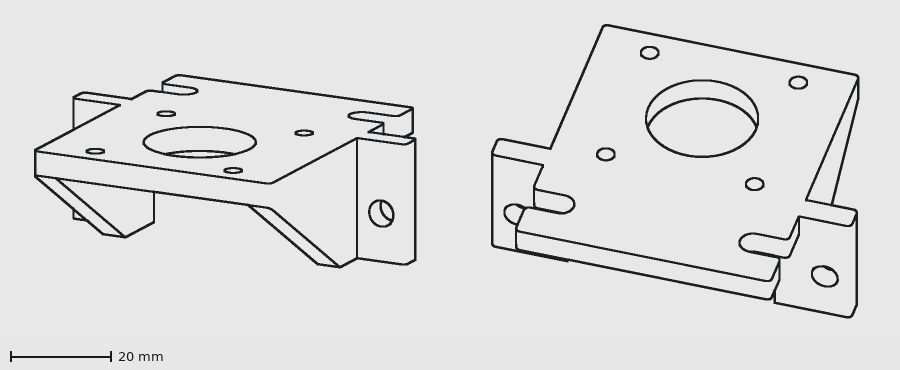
import cadquery as cq

total_width = 75.0
depth = 63.0
height = 25.0
plate_width = 53.25
thickness = 5.0
corner_radius = 1.0

ear_front = 37.95
ear_back = ear_front + thickness
wall_foot_front = 30.45
ear_hole_diameter = 5.4
ear_hole_x = 32.0
ear_hole_drop = 15.0

motor_y = 20.9
motor_bore_diameter = 22.4
screw_diameter = 3.5
screw_pitch = 31.0

notch_width = 5.4
notch_y = 52.95
notch_inner_x = 17.3


def box(x_size, y_start, y_end, z_size):
    """Box centred on X, hanging down from the top face."""
    y_size = y_end - y_start
    return (
        cq.Workplane("XY")
        .box(x_size, y_size, z_size, centered=(True, False, False))
        .translate((0, y_start, -z_size))
    )


def notched_plate():
    """Top plate with rounded back corners and rounded notch mouths."""
    plate = box(plate_width, 0, depth, thickness)
    notch_length = plate_width - 2 * notch_inner_x
    for side in (-1, 1):
        notch = (
            cq.Workplane("XY")
            .center(side * plate_width / 2, notch_y)
            .slot2D(notch_length, notch_width)
            .extrude(-thickness)
        )
        plate = plate.cut(notch)
    behind_ears = cq.selectors.BoxSelector(
        (-total_width, ear_back, -height), (total_width, depth + thickness, height)
    )
    side_edges = plate.faces("<X or >X").edges("|Z")
    return side_edges.edges(behind_ears).fillet(corner_radius)


def ears():
    """Full-height cross bar whose ends form the mounting ears."""
    bar = box(total_width, ear_front, ear_back, height)
    bar = bar.faces("<X or >X").edges("|Z").fillet(corner_radius)
    holes = (
        cq.Workplane("XZ", origin=(0, ear_back, 0))
        .pushPoints([(side * ear_hole_x, -ear_hole_drop) for side in (-1, 1)])
        .circle(ear_hole_diameter / 2)
        .extrude(thickness)
    )
    opening = box(plate_width - 2 * thickness, ear_front, ear_back, height)
    return bar.cut(holes).cut(opening)


def side_walls():
    """Pair of walls sloping from the feet up to the plate's front edge."""
    profile = [
        (0, 0),
        (ear_back, 0),
        (ear_back, -height),
        (wall_foot_front, -height),
        (0, -thickness),
    ]
    block = (
        cq.Workplane("YZ")
        .polyline(profile)
        .close()
        .extrude(plate_width / 2, both=True)
    )
    return block.cut(box(plate_width - 2 * thickness, 0, ear_back, height))


body = notched_plate().union(side_walls()).union(ears())
body = body.faces("<Y").edges("|Z").fillet(corner_radius)

motor_bore = (
    cq.Workplane("XY")
    .center(0, motor_y)
    .circle(motor_bore_diameter / 2)
    .extrude(-thickness)
)
screw_holes = (
    cq.Workplane("XY")
    .center(0, motor_y)
    .rect(screw_pitch, screw_pitch, forConstruction=True)
    .vertices()
    .circle(screw_diameter / 2)
    .extrude(-thickness)
)
result = body.cut(motor_bore).cut(screw_holes)